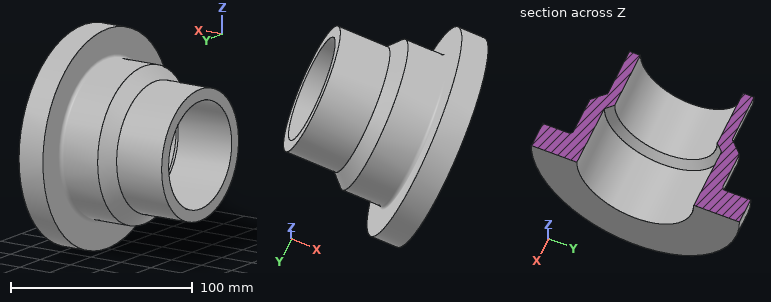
import cadquery as cq


spigot_diameter = 75.0
body_diameter = 90.0
flange_diameter = 125.0
spigot_length = 30.0
flange_thickness = 16.0
total_length = 78.0
neck_fillet_radius = 2.0

small_bore_diameter = 61.4
large_bore_diameter = 70.0
large_bore_start_x = 40.0

outer_taper_length = (body_diameter - spigot_diameter) / 2
bore_taper_length = (large_bore_diameter - small_bore_diameter) / 2

body_start_x = spigot_length + outer_taper_length
flange_face_x = total_length - flange_thickness
small_bore_length = large_bore_start_x - bore_taper_length


def revolve_about_x(half_profile):
    """Revolve a closed half profile in the XY plane about the X axis."""
    return half_profile.close().revolve(360, (0, 0, 0), (1, 0, 0))


def make_outside():
    """Solid spigot, taper, body and flange, with a fillet where body meets flange."""
    spigot_radius = spigot_diameter / 2
    body_radius = body_diameter / 2
    flange_radius = flange_diameter / 2
    profile = (
        cq.Workplane("XY")
        .moveTo(0, 0)
        .lineTo(0, spigot_radius)
        .lineTo(spigot_length, spigot_radius)
        .lineTo(body_start_x, body_radius)
        .lineTo(flange_face_x - neck_fillet_radius, body_radius)
        .radiusArc((flange_face_x, body_radius + neck_fillet_radius), -neck_fillet_radius)
        .lineTo(flange_face_x, flange_radius)
        .lineTo(total_length, flange_radius)
        .lineTo(total_length, 0)
    )
    return revolve_about_x(profile)


def make_bore():
    """Through bore that widens from the spigot towards the flange."""
    small_radius = small_bore_diameter / 2
    large_radius = large_bore_diameter / 2
    profile = (
        cq.Workplane("XY")
        .moveTo(0, 0)
        .lineTo(0, small_radius)
        .lineTo(small_bore_length, small_radius)
        .lineTo(large_bore_start_x, large_radius)
        .lineTo(total_length, large_radius)
        .lineTo(total_length, 0)
    )
    return revolve_about_x(profile)


result = make_outside().cut(make_bore())